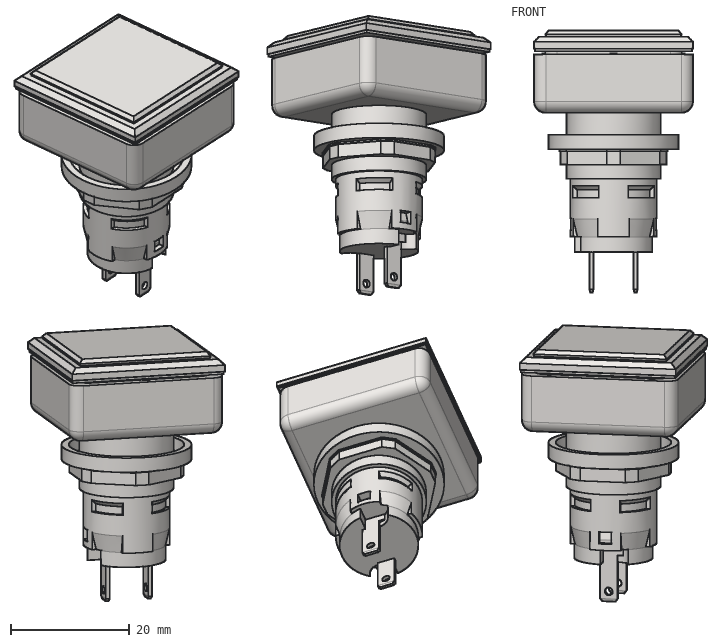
import cadquery as cq
import math

TOTAL_HEIGHT = 44.3

HEAD_WIDTH = 26.9
KEY_TOP_WIDTH = 21.9
KEY_WIDTH = 23.05
KEY_FOOT_WIDTH = 22.75
KEY_SLOPE_BOTTOM = -0.65
BEZEL_TOP = -1.05
BEZEL_CHAMFER = 0.9
BEZEL_RIM_BOTTOM = -3.1
BEZEL_LIP_WIDTH = 26.6
BEZEL_BOTTOM = -3.55
COLLAR_WIDTH = 23.12
BODY_TOP = -4.08
BODY_BOTTOM = -13.95
CORNER_RADIUS = 2.0

STOP_LENGTH = 1.15
STOP_HEIGHT = 0.18
STOP_REACH = 0.45
STOP_OFFSET_Y = 8.95

NECK_DIAMETER = 16.0
NECK_BOTTOM = -25.1
FLANGE_DIAMETER = 22.0
FLANGE_TOP = -17.65
FLANGE_BOTTOM = -20.1
FLANGE_POCKET_DIAMETER = 19.5
FLANGE_POCKET_DEPTH = 2.2
NUT_FLATS_X = 18.0
NUT_CORNERS_Y = 19.45
NUT_BOTTOM = -22.7
NUT_FLARE = 0.15
NUT_FLARE_HEIGHT = 0.45
NUT_FLARE_LIP = 0.1

BARREL_DIAMETER = 14.65
BARREL_BOTTOM = -34.85
WINDOW_TOP = -26.25
WINDOW_BOTTOM = -28.3
WINDOW_SIDE = 2.53
WINDOW_TOP_SLOPE = 0.7
RECESS_TOP = -31.85
RECESS_SIDE = 2.65
LATCH_WIDTH = 2.2
LATCH_TOP = -31.7
LATCH_BOTTOM = -33.75
LATCH_DEPTH = 1.4
LATCH_RAMP_BOTTOM = -33.2
LATCH_RAMP_REACH = 0.45

CUT_CLEARANCE = 0.45

BASE_DIAMETER = 13.3
BASE_BOTTOM = -37.48
SLOT_NEAR_Y = 0.95
SLOT_FAR_Y = -3.68
SLOT_CORNER_RADIUS = 2.2
TERMINAL_X = 3.7
TERMINAL_THICKNESS = 0.7
TERMINAL_WIDTH = 3.0
TERMINAL_TIP_LENGTH = 0.55
TERMINAL_TIP_WIDTH = 2.2
TERMINAL_TIP_THICKNESS = 0.45
TERMINAL_HOLE_DIAMETER = 1.35
TERMINAL_HOLE_Z = -42.55
WING_Y = -2.53
WING_BOTTOM = -36.3


def square_block(width, top, bottom):
    return cq.Workplane("XY").workplane(offset=bottom).rect(width, width).extrude(top - bottom)


def square_frustum(top_width, bottom_width, top, bottom):
    return (
        cq.Workplane("XY").workplane(offset=bottom).rect(bottom_width, bottom_width)
        .workplane(offset=top - bottom).rect(top_width, top_width)
        .loft(ruled=True)
    )


def cylinder(diameter, top, bottom):
    return cq.Workplane("XY").workplane(offset=bottom).circle(diameter / 2).extrude(top - bottom)


def box_between(x_range, y_range, z_range):
    sizes = [high - low for low, high in (x_range, y_range, z_range)]
    corner = (x_range[0], y_range[0], z_range[0])
    return cq.Workplane("XY").box(*sizes, centered=False).translate(corner)


def revolved(profile):
    """Turn an (r, z) outline about the Z axis."""
    return cq.Workplane("XZ").polyline(profile).close().revolve(360, (0, 0, 0), (0, 1, 0))


def make_head():
    key = square_frustum(KEY_TOP_WIDTH, KEY_WIDTH, 0, KEY_SLOPE_BOTTOM)
    key = key.union(square_frustum(KEY_WIDTH, KEY_FOOT_WIDTH, KEY_SLOPE_BOTTOM, BEZEL_TOP))
    bezel = square_block(HEAD_WIDTH, BEZEL_TOP, BEZEL_RIM_BOTTOM).faces(">Z").chamfer(BEZEL_CHAMFER)
    lip = square_block(BEZEL_LIP_WIDTH, BEZEL_RIM_BOTTOM, BEZEL_BOTTOM)
    collar = square_block(COLLAR_WIDTH, BEZEL_BOTTOM, BODY_TOP).edges("|Z").fillet(CORNER_RADIUS)
    body = square_block(HEAD_WIDTH, BODY_TOP, BODY_BOTTOM).edges("|Z").fillet(CORNER_RADIUS)
    body = body.faces("<Z").edges().fillet(CORNER_RADIUS)
    return key.union(bezel).union(lip).union(collar).union(body)


def make_stops():
    span = COLLAR_WIDTH + 2 * STOP_REACH
    z_range = (BODY_TOP, BODY_TOP + STOP_HEIGHT)
    half_length = STOP_LENGTH / 2
    stops = box_between((-half_length, half_length), (-span / 2, span / 2), z_range)
    for y in (-STOP_OFFSET_Y, STOP_OFFSET_Y):
        y_range = (y - half_length, y + half_length)
        stops = stops.union(box_between((-span / 2, span / 2), y_range, z_range))
    return stops


def make_flange():
    flange = cylinder(FLANGE_DIAMETER, FLANGE_TOP, FLANGE_BOTTOM)
    return flange.cut(cylinder(FLANGE_POCKET_DIAMETER, FLANGE_TOP, FLANGE_TOP - FLANGE_POCKET_DEPTH))


def hexagon(across_flats, height):
    return cq.Workplane("XY").polygon(6, across_flats / math.cos(math.pi / 6)).extrude(height)


def make_truncated_hexagon(extra_width, height):
    """Hexagon with flats on +X and -X whose six corners are cut off flat."""
    main = hexagon(NUT_FLATS_X + extra_width, height).rotate((0, 0, 0), (0, 0, 1), 30)
    return main.intersect(hexagon(NUT_CORNERS_Y + extra_width, height))


def make_nut():
    height = FLANGE_BOTTOM - NUT_BOTTOM
    nut = make_truncated_hexagon(0, height)
    flare = make_truncated_hexagon(2 * NUT_FLARE, NUT_FLARE_HEIGHT)
    flare = flare.faces("<Z").chamfer(NUT_FLARE_HEIGHT - NUT_FLARE_LIP, NUT_FLARE)
    return nut.union(flare.translate((0, 0, height - NUT_FLARE_HEIGHT))).translate((0, 0, NUT_BOTTOM))


def quadrant_parts(ring, side):
    """Keep only the four parts of a ring that lie beyond `side` in both X and Y."""
    cross_bar = box_between((-BARREL_DIAMETER, BARREL_DIAMETER), (-side, side), (BARREL_BOTTOM, 0))
    for angle in (0, 90):
        ring = ring.cut(cross_bar.rotate((0, 0, 0), (0, 0, 1), angle))
    return ring


def make_windows():
    """Four windows on the diagonals, with sloped tops, cut down to the base diameter."""
    outer = BARREL_DIAMETER / 2
    inner = BASE_DIAMETER / 2
    ring = revolved([
        (inner, WINDOW_BOTTOM),
        (inner, WINDOW_TOP - WINDOW_TOP_SLOPE),
        (outer, WINDOW_TOP),
        (outer + CUT_CLEARANCE, WINDOW_TOP),
        (outer + CUT_CLEARANCE, WINDOW_BOTTOM),
    ])
    return quadrant_parts(ring, WINDOW_SIDE)


def make_recesses():
    """Four conical recesses below the windows, deepening to the base diameter."""
    outer = BARREL_DIAMETER / 2
    ring = revolved([
        (BASE_DIAMETER / 2, BARREL_BOTTOM),
        (outer, RECESS_TOP),
        (outer + CUT_CLEARANCE, RECESS_TOP),
        (outer + CUT_CLEARANCE, BARREL_BOTTOM),
    ])
    return quadrant_parts(ring, RECESS_SIDE)


def make_latch_pocket():
    """Pocket on the -X side whose back rises towards the outside, then drops straight."""
    outer_x = -BARREL_DIAMETER / 2 - CUT_CLEARANCE
    back_x = -BARREL_DIAMETER / 2 + LATCH_DEPTH
    ramp_x = back_x - LATCH_RAMP_REACH
    profile = [
        (outer_x, LATCH_TOP),
        (back_x, LATCH_TOP),
        (ramp_x, LATCH_RAMP_BOTTOM),
        (ramp_x, LATCH_BOTTOM),
        (outer_x, LATCH_BOTTOM),
    ]
    return cq.Workplane("XZ").polyline(profile).close().extrude(LATCH_WIDTH / 2, both=True)


def make_terminal_slot():
    """Slot in the -X side of the base, with one rounded inner corner."""
    slot = box_between(
        (-BASE_DIAMETER, -TERMINAL_X), (SLOT_FAR_Y, SLOT_NEAR_Y), (BASE_BOTTOM, BARREL_BOTTOM)
    )
    return slot.edges("|Z and >X and <Y").fillet(SLOT_CORNER_RADIUS)


def make_terminal():
    tip_top = -TOTAL_HEIGHT + TERMINAL_TIP_LENGTH
    half_thickness = TERMINAL_THICKNESS / 2
    half_width = TERMINAL_WIDTH / 2
    x_range = (-half_thickness, half_thickness)
    blade = box_between(x_range, (-half_width, half_width), (tip_top, BARREL_BOTTOM))
    wing = box_between(x_range, (WING_Y, 0), (WING_BOTTOM, BARREL_BOTTOM))
    tip = (
        cq.Workplane("XY").workplane(offset=-TOTAL_HEIGHT)
        .rect(TERMINAL_TIP_THICKNESS, TERMINAL_TIP_WIDTH)
        .workplane(offset=TERMINAL_TIP_LENGTH)
        .rect(TERMINAL_THICKNESS, TERMINAL_WIDTH)
        .loft(ruled=True)
    )
    hole = (
        cq.Workplane("YZ").center(0, TERMINAL_HOLE_Z)
        .circle(TERMINAL_HOLE_DIAMETER / 2).extrude(TERMINAL_THICKNESS, both=True)
    )
    return blade.union(wing).union(tip).cut(hole).translate((-TERMINAL_X, 0, 0))


def with_opposite(shape):
    """The shape together with its copy half a turn about the Z axis."""
    return shape.union(shape.rotate((0, 0, 0), (0, 0, 1), 180))


barrel = cylinder(BARREL_DIAMETER, NECK_BOTTOM, BARREL_BOTTOM)
barrel = barrel.cut(make_windows()).cut(make_recesses()).cut(with_opposite(make_latch_pocket()))
base = cylinder(BASE_DIAMETER, BARREL_BOTTOM, BASE_BOTTOM).cut(with_opposite(make_terminal_slot()))

result = (
    make_head()
    .union(make_stops())
    .union(cylinder(NECK_DIAMETER, BODY_BOTTOM, NECK_BOTTOM))
    .union(make_flange())
    .union(make_nut())
    .union(barrel)
    .union(base)
    .union(with_opposite(make_terminal()))
)